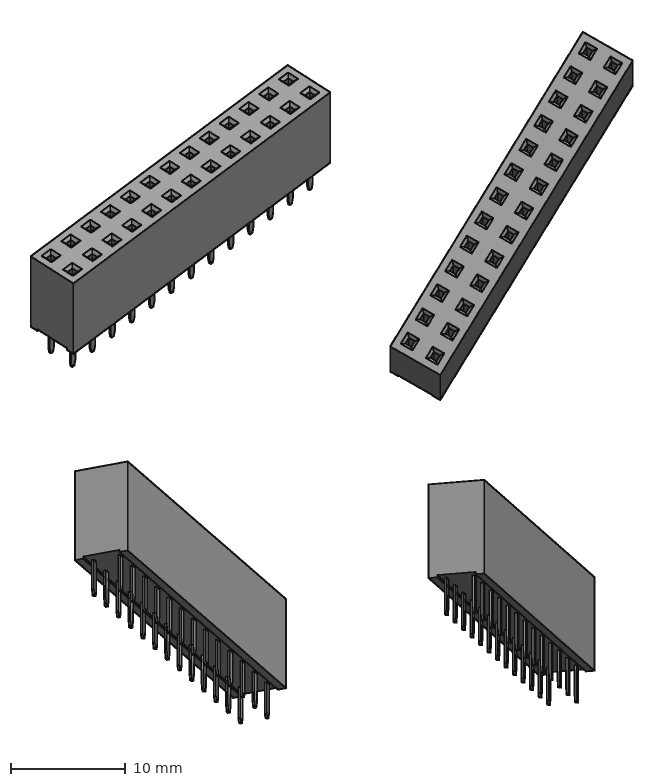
import cadquery as cq

columns = 2
rows = 13
length = 33.02
pitch = length / rows
width = columns * pitch

housing_height = 8.5
rail_height = 0.2
rail_width = 0.8

mouth_size = 1.2
hole_size = 0.6
funnel_depth = 0.3
hole_depth = 2.97

pin_thickness = 0.2
pin_width = 0.55
pin_bottom = -3.1
tip_width = 0.3
tip_length = 0.6
contact_height = 0.2

hole_floor = housing_height - hole_depth
pin_top = hole_floor + contact_height


def make_housing():
    """Block with a groove along the underside that leaves a rail on each side."""
    block = cq.Workplane("XY").box(width, length, housing_height, centered=(True, True, False))
    groove_width = width - 2 * rail_width
    groove = cq.Workplane("XY").box(groove_width, length, rail_height, centered=(True, True, False))
    return block.cut(groove)


def make_socket():
    """Empty space of one socket, centred on the Z axis."""
    funnel = (
        cq.Workplane("XY")
        .workplane(offset=housing_height)
        .rect(mouth_size, mouth_size)
        .workplane(offset=-funnel_depth)
        .rect(hole_size, hole_size)
        .loft(ruled=True)
    )
    hole = (
        cq.Workplane("XY")
        .workplane(offset=hole_floor)
        .rect(hole_size, hole_size)
        .extrude(hole_depth - funnel_depth)
    )
    return funnel.union(hole)


def make_pin():
    """One pin, centred on the Z axis, from its tip up into the socket."""
    shoulder = pin_bottom + tip_length
    return (
        cq.Workplane("YZ")
        .moveTo(-pin_width / 2, pin_top)
        .lineTo(-pin_width / 2, shoulder)
        .lineTo(-tip_width / 2, pin_bottom)
        .lineTo(tip_width / 2, pin_bottom)
        .lineTo(pin_width / 2, shoulder)
        .lineTo(pin_width / 2, pin_top)
        .close()
        .extrude(pin_thickness / 2, both=True)
    )


def at_each_position(shape):
    """Copies of a shape at every position of the contact grid."""
    grid = cq.Workplane("XY").rarray(pitch, pitch, columns, rows)
    return grid.eachpoint(lambda location: shape.val().moved(location))


result = make_housing().cut(at_each_position(make_socket())).union(at_each_position(make_pin()))